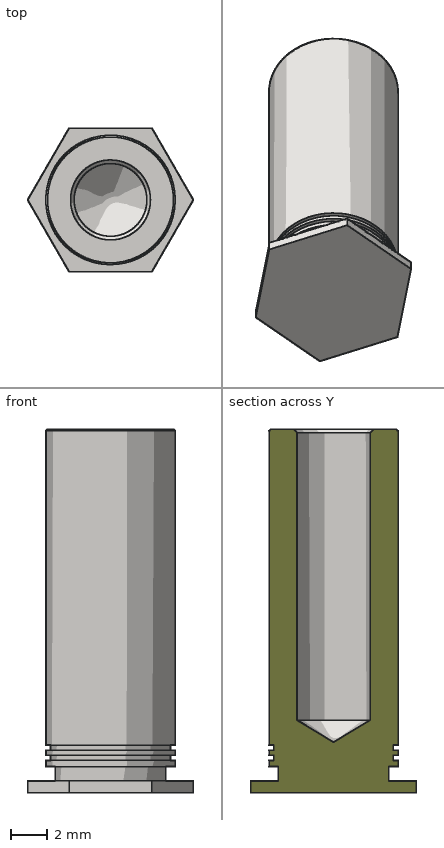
import cadquery as cq
import math

total_height = 20.0
hex_across_flats = 7.9
hex_thickness = 0.65

body_diameter = 7.12
neck_diameter = 6.1
neck_top = 1.45
top_chamfer = 0.1

groove_diameter = 6.62
groove_width = 0.28
groove_bottoms = (1.78, 2.35)

bore_diameter = 4.0
bore_mouth_diameter = 4.4
bore_floor = 4.0
drill_point_angle = 118.0


def ring(outer_diameter, inner_diameter, bottom, top):
    """Annular ring around the Z axis."""
    return (
        cq.Workplane("XY", origin=(0, 0, bottom))
        .circle(outer_diameter / 2)
        .circle(inner_diameter / 2)
        .extrude(top - bottom)
    )


def make_head():
    """Hexagonal plate with two flats facing +Y and -Y."""
    across_corners = hex_across_flats / math.cos(math.pi / 6)
    return cq.Workplane("XY").polygon(6, across_corners).extrude(hex_thickness)


def make_body():
    """Cylinder with a chamfered top, relieved at the neck and the grooves."""
    body = (
        cq.Workplane("XY")
        .circle(body_diameter / 2)
        .extrude(total_height)
        .faces(">Z")
        .chamfer(top_chamfer)
    )
    body = body.cut(ring(body_diameter, neck_diameter, 0, neck_top))
    for bottom in groove_bottoms:
        body = body.cut(ring(body_diameter, groove_diameter, bottom, bottom + groove_width))
    return body


def make_bore():
    """Revolved cutter: drill point, straight bore and 45 degree countersink."""
    bore_radius = bore_diameter / 2
    mouth_radius = bore_mouth_diameter / 2
    countersink_depth = mouth_radius - bore_radius
    point_depth = bore_radius / math.tan(math.radians(drill_point_angle / 2))
    profile = [
        (0, bore_floor - point_depth),
        (bore_radius, bore_floor),
        (bore_radius, total_height - countersink_depth),
        (mouth_radius, total_height),
        (0, total_height),
    ]
    return cq.Workplane("XZ").polyline(profile).close().revolve(360, (0, 0), (0, 1))


result = make_head().union(make_body()).cut(make_bore())